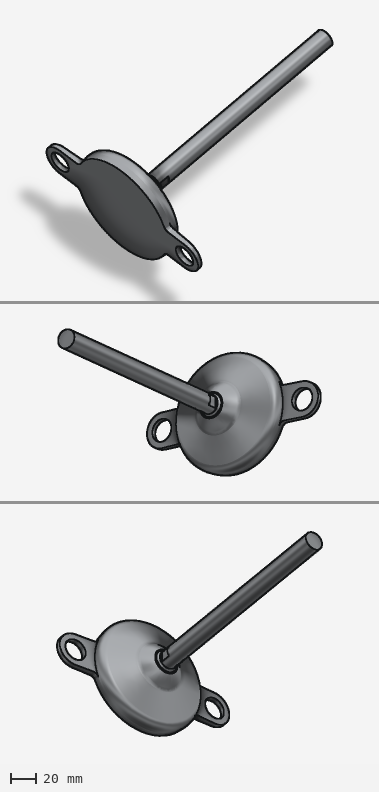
import cadquery as cq
import math


foot_radius = 50.0
base_height = 5.7
base_draft = 8.0
rim_height = 8.4

shoulder_radius = 8.0
flank_angle = 20.6
dome_foot_radius = 20.8
dome_sphere_radius = 26.0
neck_radius = 11.0
neck_height = 33.6
flank_fillet = 6.0

overall_width = 166.0
lug_half_width = 15.0
lug_blend_radius = 5.0
lug_hole_diameter = 19.0
lug_slope = 3.0
lug_center = overall_width / 2 - lug_half_width

stud_top = 235.0
stud_radius = 8.0
flare_radius = 9.9
flare_bottom = 34.0
flare_top = flare_bottom + flare_radius - stud_radius
flats_across = 13.0
flats_bottom = 37.0
flats_length = 9.2
flats_top = flats_bottom + flats_length

pick_margin = 0.1

profile_plane = cq.Plane(origin=(0, 0, 0), xDir=(0, 0, 1), normal=(-1, 0, 0))


def make_base():
    """Drafted base disc with two lugs, their blends, sloping tops and bolt holes."""
    floor_radius = foot_radius - base_height * math.tan(math.radians(base_draft))
    disc = (
        cq.Workplane(profile_plane)
        .polyline([(0, 0), (floor_radius, 0), (foot_radius, base_height), (0, base_height)])
        .close()
        .revolve(360, (0, 0, 0), (0, 1, 0))
    )
    lugs = (
        cq.Workplane("XZ")
        .slot2D(overall_width, 2 * lug_half_width)
        .extrude(-base_height)
    )
    corner_box = cq.selectors.BoxSelector(
        (-foot_radius, pick_margin, -lug_half_width - pick_margin),
        (foot_radius, base_height - pick_margin, lug_half_width + pick_margin),
    )
    base = disc.union(lugs)
    base = base.edges(corner_box).fillet(lug_blend_radius)

    lug_drop = (overall_width / 2 - foot_radius) * math.tan(math.radians(lug_slope))
    for side in (-1, 1):
        slope_cut = (
            cq.Workplane("XY")
            .polyline([
                (side * foot_radius, base_height),
                (side * overall_width / 2, base_height),
                (side * overall_width / 2, base_height - lug_drop),
            ])
            .close()
            .extrude(lug_half_width, both=True)
        )
        base = base.cut(slope_cut)

    holes = (
        cq.Workplane("XZ")
        .pushPoints([(-lug_center, 0), (lug_center, 0)])
        .circle(lug_hole_diameter / 2)
        .extrude(-base_height)
    )
    return base.cut(holes)


def make_cup():
    """Turned upper part of the foot, from the rim to the neck."""
    flank = math.radians(flank_angle)
    shoulder_center_r = foot_radius - shoulder_radius

    def on_shoulder(angle):
        return (
            shoulder_center_r + shoulder_radius * math.cos(angle),
            rim_height + shoulder_radius * math.sin(angle),
        )

    shoulder_sweep = math.pi / 2 - flank
    shoulder_end = on_shoulder(shoulder_sweep)
    dome_foot_height = shoulder_end[1] + (shoulder_end[0] - dome_foot_radius) * math.tan(flank)
    cup = (
        cq.Workplane(profile_plane)
        .moveTo(0, base_height)
        .lineTo(foot_radius, base_height)
        .lineTo(foot_radius, rim_height)
        .threePointArc(on_shoulder(shoulder_sweep / 2), shoulder_end)
        .lineTo(dome_foot_radius, dome_foot_height)
        .radiusArc((neck_radius, neck_height), -dome_sphere_radius)
        .lineTo(0, neck_height)
        .close()
        .revolve(360, (0, 0, 0), (0, 1, 0))
    )
    crease = cq.selectors.BoxSelector(
        (-dome_foot_radius - pick_margin, dome_foot_height - pick_margin, -dome_foot_radius - pick_margin),
        (dome_foot_radius + pick_margin, dome_foot_height + pick_margin, dome_foot_radius + pick_margin),
        boundingbox=True,
    )
    return cup.edges(crease).fillet(flank_fillet)


def make_stud():
    """Round stud standing on the neck, flared at its lower end, with two wrench flats."""
    stud = (
        cq.Workplane(profile_plane)
        .polyline([
            (0, neck_height),
            (flare_radius, neck_height),
            (flare_radius, flare_bottom),
            (stud_radius, flare_top),
            (stud_radius, stud_top),
            (0, stud_top),
        ])
        .close()
        .revolve(360, (0, 0, 0), (0, 1, 0))
    )
    for side in (-1, 1):
        flat_cut = (
            cq.Workplane("XY")
            .moveTo(side * flats_across / 2, flats_bottom)
            .lineTo(side * stud_radius, flats_bottom)
            .lineTo(side * stud_radius, flats_top)
            .lineTo(side * flats_across / 2, flats_top)
            .close()
            .extrude(stud_radius, both=True)
        )
        stud = stud.cut(flat_cut)
    return stud


foot = make_base().union(make_cup())
stud = make_stud()

result = cq.Compound.makeCompound([foot.val(), stud.val()])